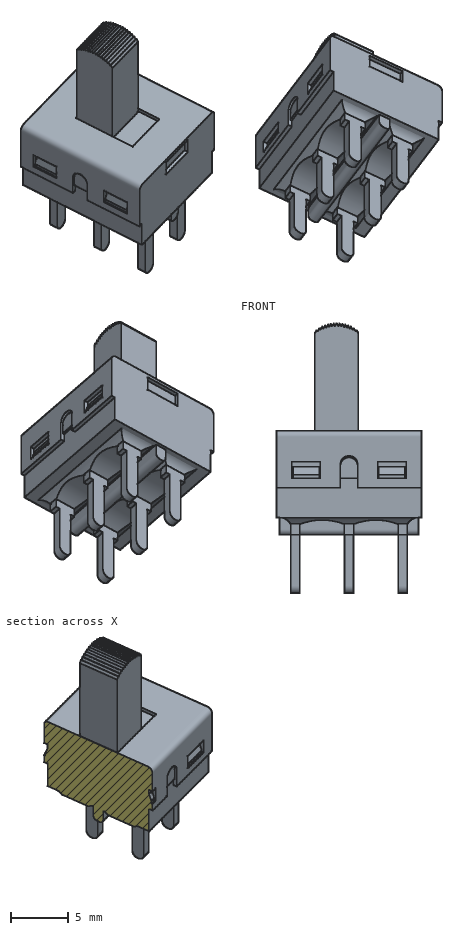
import cadquery as cq
import math


length = 12.7
cover_width = 11.43
cover_top = 7.62
cover_bottom = 2.63
sheet = 0.36
cover_radius = 0.53

base_width = cover_width - 2 * sheet
base_top = cover_top - sheet
end_notch_width = 3.35
end_notch_bottom = 5.76
end_notch_depth = 0.36

window_offset = 3.77
window_width = 2.5
window_bottom = 3.45
window_height = 1.43
latch_offset = 3.745
latch_width = 2.28
latch_height = 1.0
latch_lip_height = 0.3
latch_depth = 0.25

slot_width = 1.52
slot_top = 5.41
boss_bottom = 3.47
boss_top = 5.27
boss_depth = 0.18

opening_length = 6.08
opening_width = 4.08
knob_length = 3.83
knob_width = 3.92
knob_left = -3.0
knob_top = 17.02
tip_arc_radius = 2.83
root_arc_radius = 3.25
tooth_depth = 0.26
teeth_per_side = 7
tooth_ramp_fraction = 2 / 3

pin_pitch_x = 4.7
pin_pitch_y = 4.83
pin_thickness = 0.8
pin_width = 1.22
pin_bottom = -6.6
shoulder_width = 2.06
shoulder_bottom = -1.49

bead_depth = 0.57
bead_waist_depth = 0.21
bead_foot = 1.78
bead_crest = 1.0
bead_flank_mid = (1.36, 0.25)
bead_end = 5.85
bead_end_mid = (5.4, 0.22)

rib_length = 12.18
rib_width = 1.07
rib_bottom = -1.51
rib_edge_radius = 0.46

pin_columns = (-pin_pitch_x, 0, pin_pitch_x)
pin_rows = (-pin_pitch_y / 2, pin_pitch_y / 2)


def block(x_range, y_range, z_range):
    """Box given by its limits along each axis."""
    (x0, x1), (y0, y1), (z0, z1) = x_range, y_range, z_range
    return cq.Workplane("XY").box(x1 - x0, y1 - y0, z1 - z0, centered=False).translate((x0, y0, z0))


def centered_block(size_x, size_y, z_range):
    """Box centred on the Z axis."""
    return block((-size_x / 2, size_x / 2), (-size_y / 2, size_y / 2), z_range)


def arch(width, bottom, top, half_depth):
    """Round-topped block, centred on the Z axis and reaching half_depth to both sides along Y."""
    half = width / 2
    return (
        cq.Workplane("XZ")
        .moveTo(-half, bottom)
        .lineTo(half, bottom)
        .lineTo(half, top - half)
        .threePointArc((0, top), (-half, top - half))
        .close()
        .extrude(half_depth, both=True)
    )


def make_cover():
    outer = centered_block(length, cover_width, (cover_bottom, cover_top))
    outer = outer.edges("|X and >Z").fillet(cover_radius)
    inner = centered_block(length, base_width, (cover_bottom, base_top))
    inner = inner.edges("|X and >Z").fillet(cover_radius - sheet)
    cover = outer.cut(inner)
    window_top = window_bottom + window_height
    for side in (-1, 1):
        window = centered_block(window_width, cover_width, (window_bottom, window_top))
        cover = cover.cut(window.translate((side * window_offset, 0, 0)))
    cover = cover.cut(arch(slot_width, 0, slot_top, cover_width / 2))
    return cover.cut(centered_block(opening_length, opening_width, (base_top, cover_top)))


def make_latches(x_center):
    """Latches of both side walls at one X position: a short upright lip with a ramp above it."""
    wall = base_width / 2
    lip = wall + latch_depth
    lip_top = window_bottom + latch_lip_height
    ramp_top = window_bottom + latch_height
    outline = [
        (-lip, window_bottom),
        (lip, window_bottom),
        (lip, lip_top),
        (wall, ramp_top),
        (-wall, ramp_top),
        (-lip, lip_top),
    ]
    bar = cq.Workplane("YZ").polyline(outline).close().extrude(latch_width / 2, both=True)
    return bar.translate((x_center, 0, 0))


def make_base():
    base = centered_block(length, base_width, (0, base_top))
    base = base.edges("|X and >Z").fillet(cover_radius - sheet)
    notch_half = end_notch_width / 2
    notch = block((0, end_notch_depth), (-notch_half, notch_half), (end_notch_bottom, base_top))
    base = base.cut(notch.translate((-length / 2, 0, 0)))
    base = base.cut(notch.translate((length / 2 - end_notch_depth, 0, 0)))
    base = base.union(arch(slot_width, boss_bottom, boss_top, base_width / 2 + boss_depth))
    for side in (-1, 1):
        base = base.union(make_latches(side * latch_offset))
    return base


def arc_height(top, radius, x):
    """Height of an arc at a distance x from its highest point."""
    return top - radius + math.sqrt(radius**2 - x**2)


def make_knob():
    """Upright knob whose domed top carries saw teeth that ramp down away from the middle."""
    half = knob_length / 2
    tooth_pitch = half / (teeth_per_side + tooth_ramp_fraction)
    right_half = []
    for index in range(teeth_per_side + 1):
        tip = index * tooth_pitch
        root = tip + tooth_ramp_fraction * tooth_pitch
        right_half.append((tip, arc_height(knob_top, tip_arc_radius, tip)))
        right_half.append((root, arc_height(knob_top - tooth_depth, root_arc_radius, root)))
    left_half = [(-x, z) for x, z in reversed(right_half[1:])]
    outline = [(-half, base_top)] + left_half + right_half + [(half, base_top)]
    knob = cq.Workplane("XZ").polyline(outline).close().extrude(knob_width / 2, both=True)
    return knob.translate((knob_left + half, 0, 0))


def make_rib():
    rib = centered_block(rib_length, rib_width, (rib_bottom, 0))
    return rib.edges("|X and <Z").fillet(rib_edge_radius)


def make_pin():
    """Terminal with a wider shoulder under the base and a full-round lower end."""
    half = pin_width / 2
    blade = (
        cq.Workplane("YZ")
        .moveTo(-half, 0)
        .lineTo(-half, pin_bottom + half)
        .threePointArc((0, pin_bottom), (half, pin_bottom + half))
        .lineTo(half, 0)
        .close()
        .extrude(pin_thickness / 2, both=True)
    )
    shoulder = centered_block(pin_thickness, shoulder_width, (shoulder_bottom, 0))
    return blade.union(shoulder)


def make_bead():
    """Bead along one terminal row: deepest at each terminal and scalloped in between."""
    flank_y, flank_z = bead_flank_mid
    cross_section = (
        cq.Workplane("YZ")
        .moveTo(-bead_foot, 0)
        .threePointArc((-flank_y, -flank_z), (-bead_crest, -bead_depth))
        .lineTo(bead_crest, -bead_depth)
        .threePointArc((flank_y, -flank_z), (bead_foot, 0))
        .close()
        .extrude(bead_end, both=True)
    )
    end_x, end_z = bead_end_mid
    outer_face = pin_pitch_x + pin_thickness / 2
    scallop_mid = pin_pitch_x / 2
    inner_face = pin_pitch_x - pin_thickness / 2
    middle_face = pin_thickness / 2
    side_outline = (
        cq.Workplane("XZ")
        .moveTo(-bead_end, 0)
        .threePointArc((-end_x, -end_z), (-outer_face, -bead_depth))
        .lineTo(-inner_face, -bead_depth)
        .threePointArc((-scallop_mid, -bead_waist_depth), (-middle_face, -bead_depth))
        .lineTo(middle_face, -bead_depth)
        .threePointArc((scallop_mid, -bead_waist_depth), (inner_face, -bead_depth))
        .lineTo(outer_face, -bead_depth)
        .threePointArc((end_x, -end_z), (bead_end, 0))
        .close()
        .extrude(bead_foot, both=True)
    )
    return cross_section.intersect(side_outline)


result = make_base().union(make_cover(), clean=False)
result = result.union(make_knob(), clean=False)
result = result.union(make_rib(), clean=False)
for row in pin_rows:
    result = result.union(make_bead().translate((0, row, 0)), clean=False)
    for column in pin_columns:
        result = result.union(make_pin().translate((column, row, 0)), clean=False)